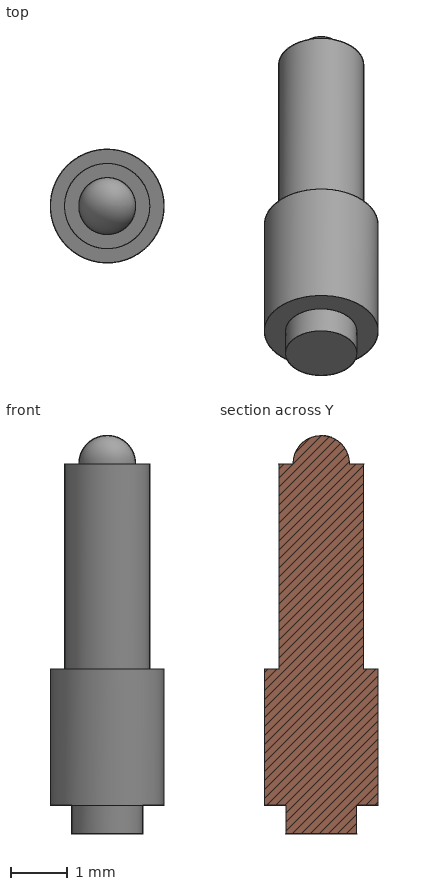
import cadquery as cq

total_height = 7.0
tail_diameter = 1.25
tail_height = 0.5
body_diameter = 2.0
body_height = 2.4
plunger_diameter = 1.5
tip_diameter = 1.0

tip_radius = tip_diameter / 2
body_top = tail_height + body_height
plunger_top = total_height - tip_radius


def cylinder(diameter, bottom, top):
    """Cylinder on the Z axis between two heights."""
    return cq.Workplane("XY").workplane(offset=bottom).circle(diameter / 2).extrude(top - bottom)


tail = cylinder(tail_diameter, 0, tail_height)
body = cylinder(body_diameter, tail_height, body_top)
plunger = cylinder(plunger_diameter, body_top, plunger_top)

tip = cq.Workplane("XY").sphere(tip_radius).translate((0, 0, plunger_top))

result = tail.union(body).union(plunger).union(tip)